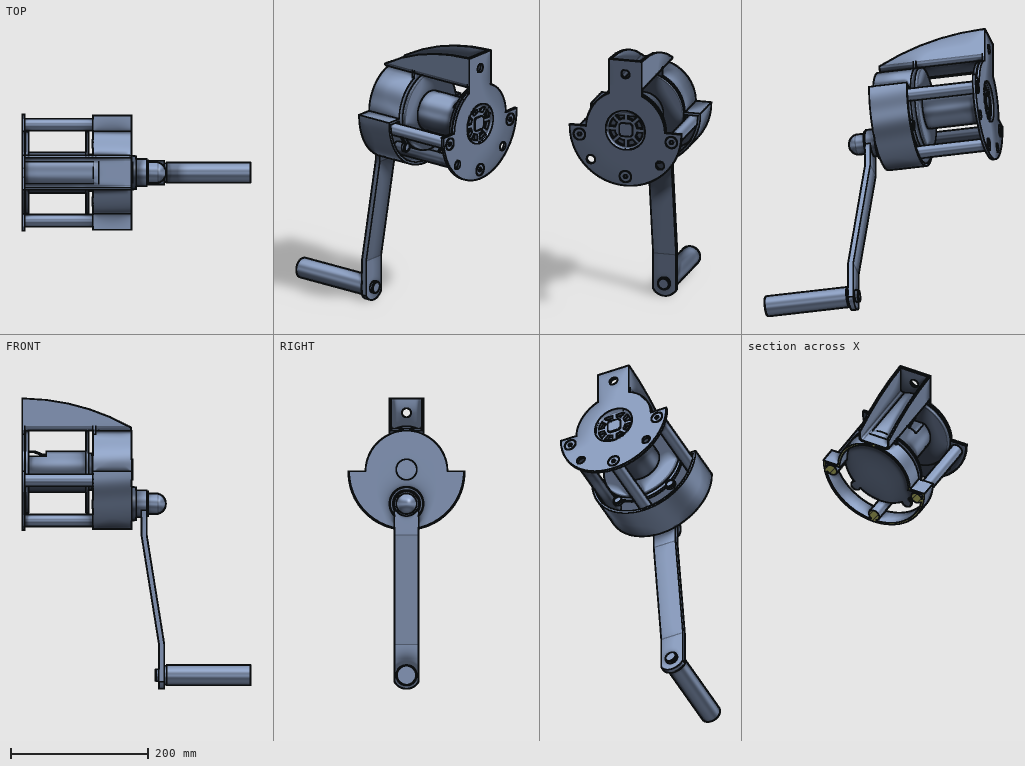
import cadquery as cq
import math


plate_thickness = 4.0
plate_radius = 85.0
disc_radius = 60.0
shoulder_z = 1.0
tab_width = 50.0
tab_top_z = 107.0
tab_hole_diameter = 13.0
tab_hole_z = 86.0
drain_hole_diameter = 13.0
drain_hole_y = 52.6
drain_hole_z = -49.3

rod_diameter = 18.0
rod_circle_radius = 71.0
rod_angles = (-10.0, -90.0, -170.0)
screw_head_diameter = 17.0
screw_groove_depth = 0.5
screw_socket_diameter = 6.0
screw_socket_depth = 3.0

housing_start_x = 103.5
housing_end_x = 160.0
housing_radius = 83.5
housing_wall = 4.0
gear_plate_thickness = 4.0
bolt_diameter = 12.0
bolt_head_height = 1.2
bolt_y = 42.0
bolt_z = -47.5
bolt_lobe_diameter = 15.0
bearing_cap_diameter = 30.0
bearing_cap_height = 1.2
bearing_cap_z = 3.2

drum_radius = 30.0
mouth_radius = 26.5
flange_radius = 60.0
left_flange_start_x = 5.0
left_flange_thickness = 5.2
left_flange_round = 2.5
right_flange_start_x = 93.2
right_flange_thickness = 4.0
right_flange_round = 1.3
hub_radius = 27.0
hub_end_x = 102.2
axle_radius = 24.0
mouth_depth = drum_radius - mouth_radius
pocket_depth = 5.0
pocket_inner_radius = 17.0
pocket_outer_radius = 25.5
pocket_top_z = 21.3
spoke_width = 6.0
spoke_count = 8
square_size = 20.0
square_chamfer = 3.0
square_protrusion = 2.0

clamp_floor_z = 22.6
clamp_end_x = 35.0
leaf_width = 12.0
leaf_thickness = 2.0
leaf_high_z = 28.2
leaf_low_z = 23.8
leaf_bend_start_x = 18.0
leaf_bend_end_x = 29.0

guard_end_x = 159.0
guard_end_z = 64.5
guard_mid_x = 105.0
guard_mid_z = 89.0
guard_floor_z = 60.0
guard_sheet = 3.0
guard_bend_radius = 6.0
emboss_width = 32.0
emboss_rise = 3.6
emboss_ramp_start_x = 104.0
emboss_end_x = 112.0
emboss_end_rise = 0.3

overall_height = 423.68
crank_length = 250.0
arm_width = 35.0
arm_thickness = 8.0
arm_end_radius = 20.0
arm_start_x = 174.0
arm_offset = 25.6
low_arm_x = arm_start_x + arm_offset
arm_bottom_z = tab_top_z - overall_height
handle_z = arm_bottom_z + arm_end_radius
crank_z = handle_z + crank_length
upper_bend_drop = 45.5
lower_bend_drop = 205.0
collar_diameter = 50.0
collar_end_x = 166.4
collar_end_diameter = 48.0
boss_end_x = arm_start_x + arm_thickness
washer_diameter = 36.0
washer_end_x = 184.2
cap_diameter = 30.0
cap_dome_start_x = 197.7
cap_end_x = 210.0

handle_diameter = 30.0
handle_end_x = 333.9
handle_chamfer = 1.2
handle_neck_diameter = 28.0
handle_neck_length = 3.5
pin_diameter = 18.0
pin_head_height = 5.0
pin_chamfer = 1.2


def rod(diameter, start_x, end_x, y=0.0, z=0.0):
    """Cylinder along X."""
    plane = cq.Plane(origin=(start_x, y, z), xDir=(0, 1, 0), normal=(1, 0, 0))
    return cq.Workplane(plane).circle(diameter / 2).extrude(end_x - start_x)


def box(start, end):
    """Axis-aligned box between two corners."""
    size = [b - a for a, b in zip(start, end)]
    return cq.Workplane("XY").box(*size, centered=False).translate(start)


def stepped_disc(upper_radius, lower_radius, start_x, end_x, shoulder):
    """Full disc of the upper radius joined to a larger disc kept only below the shoulder."""
    lower = rod(2 * lower_radius, start_x, end_x).intersect(
        box((start_x, -lower_radius, -lower_radius), (end_x, lower_radius, shoulder))
    )
    return rod(2 * upper_radius, start_x, end_x).union(lower)


def rod_positions():
    for angle in rod_angles:
        a = math.radians(angle)
        yield rod_circle_radius * math.cos(a), rod_circle_radius * math.sin(a)


def end_plate():
    plate = stepped_disc(disc_radius, plate_radius, 0, plate_thickness, shoulder_z)
    plate = plate.union(box((0, -tab_width / 2, 0), (plate_thickness, tab_width / 2, tab_top_z)))
    plate = plate.cut(rod(tab_hole_diameter, 0, plate_thickness, 0, tab_hole_z))
    for side in (-1, 1):
        hole = rod(drain_hole_diameter, 0, plate_thickness, side * drain_hole_y, drain_hole_z)
        plate = plate.cut(hole)
    return plate


def tie_rods():
    rods = cq.Workplane("XY")
    for y, z in rod_positions():
        rods = rods.union(rod(rod_diameter, 0, housing_end_x, y, z))
    return rods


def screw_recesses():
    """Ring groove around each screw head and a hexagon socket in its middle."""
    cuts = cq.Workplane("XY")
    for y, z in rod_positions():
        groove = rod(rod_diameter, 0, screw_groove_depth, y, z)
        groove = groove.cut(rod(screw_head_diameter, 0, screw_groove_depth, y, z))
        socket = (
            cq.Workplane("YZ", origin=(0, y, z))
            .polygon(6, screw_socket_diameter)
            .extrude(screw_socket_depth)
        )
        cuts = cuts.union(groove).union(socket)
    return cuts


def housing():
    cup = stepped_disc(disc_radius, housing_radius, housing_start_x, housing_end_x, shoulder_z)
    cavity = stepped_disc(
        disc_radius - housing_wall,
        housing_radius - housing_wall,
        housing_start_x,
        housing_end_x - housing_wall,
        shoulder_z - housing_wall,
    )
    cap_end_x = housing_end_x + bearing_cap_height
    cap = rod(bearing_cap_diameter, housing_end_x - housing_wall, cap_end_x, 0, bearing_cap_z)
    return cup.cut(cavity).union(cap).union(gear_plate())


def gear_plate():
    """Disc across the housing mouth with a tab up to the guard and two bolted lobes."""
    end_x = housing_start_x + gear_plate_thickness
    half = tab_width / 2
    plate = rod(2 * disc_radius, housing_start_x, end_x)
    plate = plate.union(
        box((housing_start_x, -half, 0), (end_x, half, guard_floor_z + guard_bend_radius))
    )
    plate = plate.cut(
        box(
            (housing_start_x, guard_sheet - half, guard_floor_z),
            (end_x, half - guard_sheet, guard_floor_z + guard_bend_radius),
        )
    )
    for side in (-1, 1):
        bolt_start_x = housing_start_x - bolt_head_height
        lobe = rod(bolt_lobe_diameter, housing_start_x, end_x, side * bolt_y, bolt_z)
        bolt = rod(bolt_diameter, bolt_start_x, end_x, side * bolt_y, bolt_z)
        plate = plate.union(lobe).union(bolt)
    return plate


def drum():
    left_end_x = left_flange_start_x + left_flange_thickness
    right_end_x = right_flange_start_x + right_flange_thickness
    left_flange = rod(2 * flange_radius, left_flange_start_x, left_end_x)
    left_flange = left_flange.faces(">X").edges().fillet(left_flange_round)
    right_flange = rod(2 * flange_radius, right_flange_start_x, right_end_x)
    right_flange = right_flange.faces("<X").edges().fillet(right_flange_round)
    body = rod(2 * drum_radius, 0, right_flange_start_x)
    body = body.union(left_flange).union(right_flange)
    body = body.union(rod(2 * hub_radius, right_end_x, hub_end_x))
    body = body.union(rod(2 * axle_radius, hub_end_x, housing_start_x))
    return body


def drum_mouth():
    """Recess at the drum end whose wall is a concave quarter round running into a flat face."""
    centre_distance = mouth_depth * math.sqrt(0.5)
    return (
        cq.Workplane("XY")
        .moveTo(0, 0)
        .lineTo(0, drum_radius)
        .threePointArc((centre_distance, mouth_radius + centre_distance), (mouth_depth, mouth_radius))
        .lineTo(mouth_depth, 0)
        .close()
        .revolve(360, (0, 0, 0), (1, 0, 0))
    )


def drum_pockets():
    """Ring of pockets between radial spokes, cut off flat below the rope clamp."""
    end_x = mouth_depth + pocket_depth
    radius = pocket_outer_radius
    ring = rod(2 * radius, mouth_depth, end_x).cut(rod(2 * pocket_inner_radius, mouth_depth, end_x))
    for index in range(spoke_count // 2):
        spoke = box((mouth_depth, -spoke_width / 2, -radius), (end_x, spoke_width / 2, radius))
        ring = ring.cut(spoke.rotate((0, 0, 0), (1, 0, 0), index * 360 / spoke_count))
    return ring.intersect(box((mouth_depth, -radius, -radius), (end_x, radius, pocket_top_z)))


def square_shaft_end():
    half = square_size / 2
    shaft_end = box((mouth_depth - square_protrusion, -half, -half), (mouth_depth, half, half))
    return shaft_end.edges("|X").chamfer(square_chamfer)


def clamp_notch():
    start_x = left_flange_start_x + left_flange_thickness
    return box((start_x, -drum_radius, clamp_floor_z), (clamp_end_x, drum_radius, drum_radius))


def clamp_leaf():
    """Spring leaf above the notch floor, rising from the notch end wall to the flange."""
    start_x = left_flange_start_x + left_flange_thickness
    return (
        cq.Workplane("XZ", origin=(0, leaf_width / 2, 0))
        .moveTo(start_x, leaf_high_z)
        .lineTo(leaf_bend_start_x, leaf_high_z)
        .lineTo(leaf_bend_end_x, leaf_low_z)
        .lineTo(clamp_end_x, leaf_low_z)
        .lineTo(clamp_end_x, leaf_low_z + leaf_thickness)
        .lineTo(leaf_bend_end_x, leaf_low_z + leaf_thickness)
        .lineTo(leaf_bend_start_x, leaf_high_z + leaf_thickness)
        .lineTo(start_x, leaf_high_z + leaf_thickness)
        .close()
        .extrude(leaf_width)
    )


def guard():
    half = tab_width / 2
    outer = box((0, -half, guard_floor_z), (guard_end_x, half, tab_top_z))
    outer = outer.faces("<Z").edges("|X").fillet(guard_bend_radius)
    inner = box(
        (0, guard_sheet - half, guard_floor_z + guard_sheet),
        (guard_end_x, half - guard_sheet, tab_top_z),
    )
    inner = inner.faces("<Z").edges("|X").fillet(guard_bend_radius - guard_sheet)
    side_outline = (
        cq.Workplane("XZ", origin=(0, half, 0))
        .moveTo(0, guard_floor_z)
        .lineTo(0, tab_top_z)
        .threePointArc((guard_mid_x, guard_mid_z), (guard_end_x, guard_end_z))
        .lineTo(guard_end_x, guard_floor_z)
        .close()
        .extrude(tab_width)
    )
    channel = outer.cut(inner).intersect(side_outline)
    return channel.union(floor_emboss(guard_floor_z + guard_sheet)).cut(floor_emboss(guard_floor_z))


def emboss_outline(base_z, x, rise):
    half = emboss_width / 2
    return (
        cq.Workplane("YZ", origin=(x, 0, 0))
        .moveTo(-half, base_z)
        .threePointArc((0, base_z + rise), (half, base_z))
        .close()
    )


def floor_emboss(base_z):
    """Arched ridge along the guard floor, running out in a short ramp."""
    ridge_length = emboss_ramp_start_x - plate_thickness
    ridge = emboss_outline(base_z, plate_thickness, emboss_rise).extrude(ridge_length)
    ramp_end_wires = [
        emboss_outline(base_z, emboss_ramp_start_x, emboss_rise).val(),
        emboss_outline(base_z, emboss_end_x, emboss_end_rise).val(),
    ]
    return ridge.union(cq.Workplane(cq.Solid.makeLoft(ramp_end_wires, True)))


def crank_shaft():
    """Tapered collar, boss, washer and domed cap along the crank axis."""
    collar = (
        cq.Workplane("XY", origin=(0, 0, crank_z))
        .moveTo(housing_end_x, 0)
        .lineTo(housing_end_x, collar_diameter / 2)
        .lineTo(collar_end_x, collar_end_diameter / 2)
        .lineTo(collar_end_x, 0)
        .close()
        .revolve(360, (0, 0, 0), (1, 0, 0))
    )
    boss = rod(2 * arm_end_radius, collar_end_x, boss_end_x, 0, crank_z)
    washer = rod(washer_diameter, boss_end_x, washer_end_x, 0, crank_z)
    return collar.union(boss).union(washer).union(domed_cap())


def domed_cap():
    """Short cylinder ending in a spherical dome."""
    radius = cap_diameter / 2
    dome_height = cap_end_x - cap_dome_start_x
    sphere_radius = (radius**2 + dome_height**2) / (2 * dome_height)
    mid_height = dome_height / 2
    mid_radius = math.sqrt(sphere_radius**2 - (sphere_radius - mid_height) ** 2)
    return (
        cq.Workplane("XY", origin=(0, 0, crank_z))
        .moveTo(washer_end_x, 0)
        .lineTo(washer_end_x, radius)
        .lineTo(cap_dome_start_x, radius)
        .threePointArc((cap_end_x - mid_height, mid_radius), (cap_end_x, 0))
        .close()
        .revolve(360, (0, 0, 0), (1, 0, 0))
    )


def crank_arm():
    """Cranked flat bar, trimmed to round ends about the shaft and the handle."""
    upper_z = crank_z - upper_bend_drop
    lower_z = crank_z - lower_bend_drop
    bar = (
        cq.Workplane("XZ", origin=(0, arm_width / 2, 0))
        .moveTo(arm_start_x, crank_z)
        .lineTo(arm_start_x, upper_z)
        .lineTo(low_arm_x, lower_z)
        .lineTo(low_arm_x, arm_bottom_z)
        .lineTo(low_arm_x + arm_thickness, arm_bottom_z)
        .lineTo(low_arm_x + arm_thickness, lower_z)
        .lineTo(arm_start_x + arm_thickness, upper_z)
        .lineTo(arm_start_x + arm_thickness, crank_z)
        .close()
        .extrude(arm_width)
    )
    span_end_x = low_arm_x + arm_thickness
    envelope = box(
        (arm_start_x, -arm_width / 2, handle_z), (span_end_x, arm_width / 2, crank_z)
    ).union(rod(2 * arm_end_radius, arm_start_x, span_end_x, 0, handle_z))
    return bar.intersect(envelope)


def handle():
    neck_x = low_arm_x + arm_thickness
    grip_x = neck_x + handle_neck_length
    pin = rod(pin_diameter, low_arm_x - pin_head_height, neck_x, 0, handle_z)
    pin = pin.faces("<X").edges().chamfer(pin_chamfer)
    neck = rod(handle_neck_diameter, neck_x, grip_x, 0, handle_z)
    grip = rod(handle_diameter, grip_x, handle_end_x, 0, handle_z)
    grip = grip.faces(">X").edges().chamfer(handle_chamfer)
    return pin.union(neck).union(grip)


result = (
    end_plate()
    .union(drum())
    .cut(drum_mouth())
    .cut(drum_pockets())
    .cut(clamp_notch())
    .union(square_shaft_end())
    .union(clamp_leaf())
    .union(tie_rods())
    .cut(screw_recesses())
    .union(housing())
    .union(guard())
    .union(crank_shaft())
    .union(crank_arm())
    .union(handle())
)